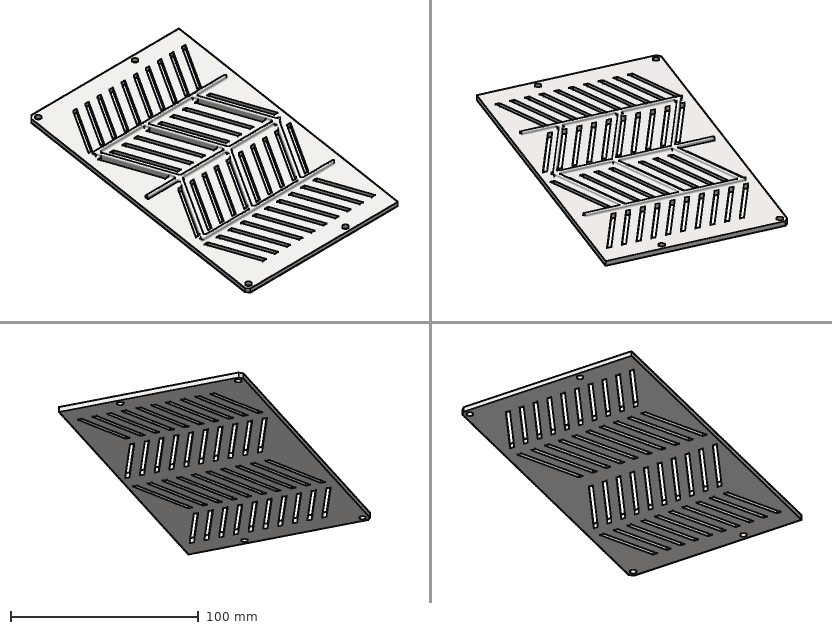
import cadquery as cq
import math

plate_length = 178.6
plate_width = 105.5
plate_thickness = 3.0
corner_chamfer = 2.0

hole_diameter = 3.5
hole_x = 85.7
hole_rows = (19.0, -49.1)

slot_count = 10
first_bend_y = 29.1
last_bend_y = -47.3
slot_pitch = (first_bend_y - last_bend_y) / (slot_count - 1)
slot_height = 2.5
slot_slope = 0.5
inner_slot_span = (5.2, 40.0)
outer_slot_span = (47.2, 77.3)

total_height = 5.0
rib_height = total_height - plate_thickness
rib_width = 2.0
rib_top_radius = 0.9
rib_foot_radius = 0.98
rib_corner_radius = 1.0
rib_end_y = 46.8
outer_rib_x = 44.0
ribbed_slots = (1, 5, 9)

sink = 0.4
rib_base_z = plate_thickness - sink

half_rib = rib_width / 2
round_end_y = rib_end_y - half_rib
slope_length = math.hypot(1, slot_slope)
slope_angle = math.degrees(math.atan(slot_slope))
diagonal_length = outer_rib_x * slope_length


def bend_y(slot):
    """Y of a slot's centre line where it crosses the outer rib."""
    return first_bend_y - slot * slot_pitch


def diagonal_rib_y(slot):
    """Y, at the outer rib, of the diagonal rib along the upper edge of a slot."""
    return bend_y(slot) + slot_height / 2 + half_rib * slope_length


def make_plate():
    plate = cq.Workplane("XY").box(
        plate_length, plate_width, plate_thickness, centered=(True, True, False)
    )
    plate = plate.edges("|Z and <Y").chamfer(corner_chamfer)
    hole_points = [(side * hole_x, y) for side in (-1, 1) for y in hole_rows]
    holes = cq.Workplane("XY").pushPoints(hole_points).circle(hole_diameter / 2).extrude(plate_thickness)
    return plate.cut(holes)


def make_slot(slot, x_span, side):
    """Parallelogram slot with ends along Y, rising away from the outer rib."""
    corners = []
    for x, edge in zip(x_span + x_span[::-1], (-1, -1, 1, 1)):
        rise = slot_slope * abs(x - outer_rib_x)
        corners.append((side * x, bend_y(slot) + rise + edge * slot_height / 2))
    return cq.Workplane("XY").polyline(corners).close().extrude(total_height)


def place_diagonals(straight):
    """Copies of a part lying along +Y from the origin, one on each diagonal rib."""
    copies = []
    for side in (-1, 1):
        turned = straight.rotate((0, 0, 0), (0, 0, 1), side * (90 - slope_angle))
        for slot in ribbed_slots:
            copies.append(turned.translate((side * outer_rib_x, diagonal_rib_y(slot), 0)))
    return copies


def make_bar(length):
    """Square-edged rib along +Y from the origin."""
    bar = cq.Workplane("XY").box(rib_width, length, rib_height + sink, centered=(True, False, False))
    return bar.translate((0, 0, rib_base_z))


def is_away_from_ends(edge):
    return abs(edge.Center().y) < rib_end_y - sink


def make_end_trim():
    """The corners cut off the +Y end of a straight rib to leave a full-round end."""
    trim = cq.Workplane("XY").box(2 * rib_width, rib_width, total_height, centered=(True, False, False))
    trim = trim.translate((0, round_end_y, 0))
    return trim.cut(cq.Workplane("XY").center(0, round_end_y).circle(half_rib).extrude(total_height))


def make_ribs():
    straight_bar = make_bar(2 * rib_end_y).translate((0, -rib_end_y, 0))
    ribs = straight_bar
    for x in (-outer_rib_x, outer_rib_x):
        ribs = ribs.union(straight_bar.translate((x, 0, 0)))
    for diagonal_bar in place_diagonals(make_bar(diagonal_length)):
        ribs = ribs.union(diagonal_bar)
    ribs = ribs.clean()

    inside_corners = [edge for edge in ribs.edges("|Z").vals() if is_away_from_ends(edge)]
    ribs = ribs.newObject(inside_corners).fillet(rib_corner_radius)
    upper_edges = [edge for edge in ribs.faces(">Z").edges().vals() if is_away_from_ends(edge)]
    ribs = ribs.newObject(upper_edges).fillet(rib_top_radius)

    end_trim = make_end_trim()
    for x in (-outer_rib_x, 0, outer_rib_x):
        ribs = ribs.cut(end_trim.translate((x, 0, 0)))
    for x in (-outer_rib_x, outer_rib_x):
        ribs = ribs.cut(end_trim.mirror("XZ").translate((x, 0, 0)))
    return ribs


def half_foot_outline():
    """Half section of a rib foot in XZ, with its concave fillet on the +X side."""
    toe_x = half_rib + rib_foot_radius
    foot_top_z = plate_thickness + rib_foot_radius
    arc_middle = rib_foot_radius * (1 - math.sqrt(0.5))
    return (
        cq.Workplane("XZ")
        .moveTo(0, rib_base_z)
        .lineTo(toe_x, rib_base_z)
        .lineTo(toe_x, plate_thickness)
        .threePointArc((half_rib + arc_middle, plate_thickness + arc_middle), (half_rib, foot_top_z))
        .lineTo(0, foot_top_z)
        .close()
    )


def make_foot(length):
    """Foot of a straight rib along +Y from the origin."""
    half_foot = half_foot_outline().extrude(-length)
    return half_foot.union(half_foot.mirror("YZ"))


def make_feet():
    """Feet of all ribs; the centre rib has none beyond the lowest diagonals."""
    lowest_apex_y = diagonal_rib_y(ribbed_slots[-1]) + slot_slope * outer_rib_x
    round_foot = half_foot_outline().revolve(360, (0, 0, 0), (0, 1, 0))
    feet = [
        make_foot(round_end_y - lowest_apex_y).translate((0, lowest_apex_y, 0)),
        round_foot.translate((0, round_end_y, 0)),
    ]
    for x in (-outer_rib_x, outer_rib_x):
        feet.append(make_foot(2 * round_end_y).translate((x, -round_end_y, 0)))
        for y in (-round_end_y, round_end_y):
            feet.append(round_foot.translate((x, y, 0)))
    return feet + place_diagonals(make_foot(diagonal_length))


result = make_plate().union(make_ribs())
for foot in make_feet():
    result = result.union(foot)

for side in (-1, 1):
    for slot in range(slot_count):
        for x_span in (inner_slot_span, outer_slot_span):
            result = result.cut(make_slot(slot, x_span, side))

result = result.solids()